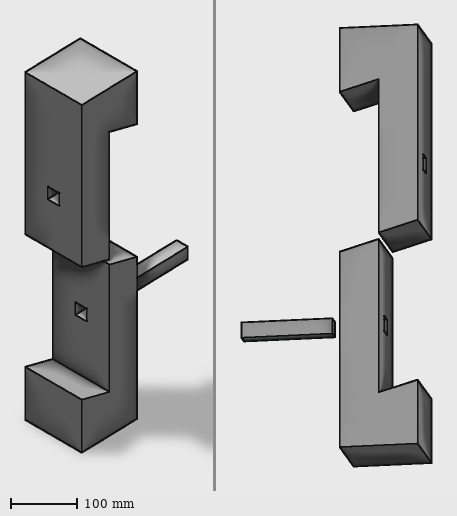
import cadquery as cq

beam_size = 120.0
tongue_thickness = beam_size / 2
tongue_length = 240.0
head_length = 100.0
undercut_slope = 2 / 7
joint_gap = 10.0

peg_size = beam_size / 5
peg_length = 140.0
peg_gap = 20.0

undercut_rise = tongue_thickness * undercut_slope
notch_root_z = head_length - undercut_rise
half_length = notch_root_z + tongue_length
shoulder_z = half_length - undercut_rise
hole_z = notch_root_z + tongue_length / 2
total_height = 2 * half_length + joint_gap


def square_bar(length, start_y):
    """Square bar along +Y at the height of the lower hole."""
    return (
        cq.Workplane("XY")
        .box(peg_size, length, peg_size, centered=(True, False, True))
        .translate((0, start_y, hole_z))
    )


def make_lower_half():
    """Hooked half standing on z = 0, with its tongue on the +Y side."""
    profile = [
        (0, 0),
        (beam_size, 0),
        (beam_size, shoulder_z),
        (tongue_thickness, half_length),
        (tongue_thickness, notch_root_z),
        (0, head_length),
    ]
    body = (
        cq.Workplane("YZ")
        .polyline(profile)
        .close()
        .extrude(beam_size / 2, both=True)
    )
    return body.cut(square_bar(beam_size, 0))


def make_upper_half(lower):
    """Lower half turned end for end about the X direction through the assembly centre."""
    centre_y = beam_size / 2
    centre_z = total_height / 2
    return lower.rotate((0, centre_y, centre_z), (1, centre_y, centre_z), 180)


lower_half = make_lower_half()
upper_half = make_upper_half(lower_half)
peg = square_bar(peg_length, beam_size + peg_gap)

result = cq.Compound.makeCompound([lower_half.val(), upper_half.val(), peg.val()])